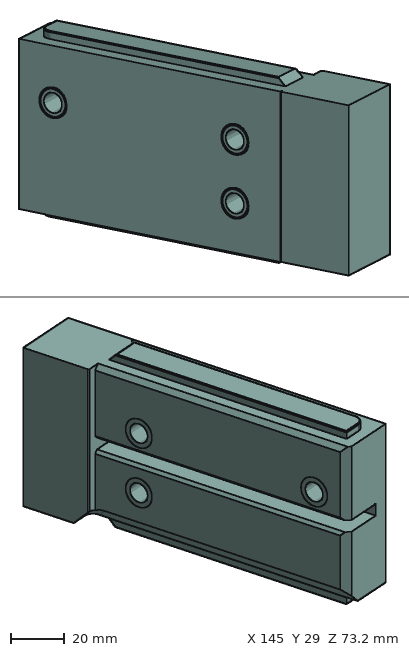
import cadquery as cq

LENGTH = 145.0
HEIGHT = 67.0
OVERALL_HEIGHT = 73.2
RAIL_THICKNESS = 25.1
STOP_THICKNESS = 29.0
STOP_FACE_X = 115.0

END_BEVEL = 3.0
TOP_BEVEL = 2.0
STOP_EDGE_BEVEL = 0.5
BOTTOM_BEVEL = 7.0
BEVEL_CORNER_RADIUS = 5.8

SLOT_WIDTH = 5.0
SLOT_FLOOR_Y = 6.5
SLOT_BEVEL = 1.3

GROOVE_START_X = 114.8
GROOVE_WIDTH = 0.5
GROOVE_DEPTH = 1.3

STRIP_START_X = 5.0
STRIP_END_X = 113.4
STRIP_FRONT_Y = 6.0
STRIP_BACK_Y = 18.3
STRIP_HEIGHT = (OVERALL_HEIGHT - HEIGHT) / 2
STRIP_CORNER_RADIUS = 5.0
STRIP_EDGE_BEVEL = 0.5

BUSHING_DIAMETER = 12.0
BORE_DIAMETER = 8.0
BUSHING_BEVEL = 0.6
LEFT_BUSHING_X = 15.0
RIGHT_BUSHING_X = 95.0
UPPER_BUSHING_Z = 44.5
LOWER_BUSHING_Z = 19.5
BUSHING_PLACES = [
    (LEFT_BUSHING_X, UPPER_BUSHING_Z),
    (RIGHT_BUSHING_X, UPPER_BUSHING_Z),
    (RIGHT_BUSHING_X, LOWER_BUSHING_Z),
]


def box(x_range, y_range, z_range):
    """Box between the given limits on each axis."""
    lows, highs = zip(x_range, y_range, z_range)
    sizes = [high - low for low, high in zip(lows, highs)]
    return cq.Workplane("XY").box(*sizes, centered=False).translate(lows)


def rail_and_stop():
    """Rail with its two bevelled back edges, and the stop with its corner edge broken."""
    rail = (
        box((0, STOP_FACE_X), (0, RAIL_THICKNESS), (0, HEIGHT))
        .edges("<X and >Y").chamfer(END_BEVEL)
        .faces(">Z").edges(">Y").chamfer(TOP_BEVEL)
    )
    stop = (
        box((STOP_FACE_X, LENGTH), (0, STOP_THICKNESS), (0, HEIGHT))
        .edges("<X and >Y").chamfer(STOP_EDGE_BEVEL)
    )
    return rail.union(stop)


def bottom_bevel_cutter():
    """Wedge with 45 degree sides along the rail's bottom back edge and under the stop face.

    Its rounded corner leaves a fillet where the two bevels meet.
    """
    clearance = 2 * BOTTOM_BEVEL
    start_x = -clearance
    end_x = STOP_FACE_X + BOTTOM_BEVEL
    front_y = RAIL_THICKNESS - BOTTOM_BEVEL
    back_y = STOP_THICKNESS + clearance
    half_bevel = BOTTOM_BEVEL / 2
    corner_edge_middle = (STOP_FACE_X + half_bevel, RAIL_THICKNESS - half_bevel, half_bevel)
    return (
        cq.Workplane("XY")
        .moveTo(start_x, front_y)
        .rect(end_x - start_x, back_y - front_y, centered=False)
        .extrude(BOTTOM_BEVEL, taper=45)
        .edges(cq.selectors.NearestToPointSelector(corner_edge_middle))
        .fillet(BEVEL_CORNER_RADIUS)
    )


def slot_cutter():
    """Slot from the rail's back face, at mid height, with bevelled lips."""
    low_z = (HEIGHT - SLOT_WIDTH) / 2
    high_z = low_z + SLOT_WIDTH
    lip_y = RAIL_THICKNESS - SLOT_BEVEL
    outline = [
        (SLOT_FLOOR_Y, low_z),
        (lip_y, low_z),
        (RAIL_THICKNESS, low_z - SLOT_BEVEL),
        (RAIL_THICKNESS, high_z + SLOT_BEVEL),
        (lip_y, high_z),
        (SLOT_FLOOR_Y, high_z),
    ]
    return cq.Workplane("YZ").polyline(outline).close().extrude(STOP_FACE_X)


def groove_cutter():
    """Fine vertical V-groove in the front face."""
    outline = [
        (GROOVE_START_X, 0),
        (GROOVE_START_X + GROOVE_WIDTH / 2, GROOVE_DEPTH),
        (GROOVE_START_X + GROOVE_WIDTH, 0),
    ]
    return cq.Workplane("XY").polyline(outline).close().extrude(HEIGHT)


def top_strip():
    """Guide strip on the top face: one rounded corner, broken edges and a 45 degree +X end."""
    top_z = HEIGHT + STRIP_HEIGHT
    side_outline = [
        (STRIP_START_X, HEIGHT),
        (STRIP_END_X, HEIGHT),
        (STRIP_END_X - STRIP_HEIGHT, top_z),
        (STRIP_START_X, top_z),
    ]
    return (
        cq.Workplane("XZ", origin=(0, STRIP_FRONT_Y, 0))
        .polyline(side_outline).close()
        .extrude(STRIP_FRONT_Y - STRIP_BACK_Y)
        .edges("|Z and <X and <Y").fillet(STRIP_CORNER_RADIUS)
        .faces(">Z").edges("not >X").chamfer(STRIP_EDGE_BEVEL)
    )


def through_cylinder(place, diameter):
    """Cylinder through the rail along Y, centred on an (x, z) place."""
    return cq.Workplane("XZ").center(*place).circle(diameter / 2).extrude(-RAIL_THICKNESS)


def make_bushing(place):
    """Drill bushing as long as the rail is thick, with its outer front rim bevelled."""
    sleeve = through_cylinder(place, BUSHING_DIAMETER).faces("<Y").chamfer(BUSHING_BEVEL)
    return sleeve.cut(through_cylinder(place, BORE_DIAMETER))


def make_body():
    """Rail, stop and both guide strips in one piece, with the bushing holes."""
    strip = top_strip()
    body = (
        rail_and_stop()
        .cut(bottom_bevel_cutter())
        .cut(slot_cutter())
        .cut(groove_cutter())
        .union(strip)
        .union(strip.mirror("XY", (0, 0, HEIGHT / 2)))
    )
    for place in BUSHING_PLACES:
        body = body.cut(through_cylinder(place, BUSHING_DIAMETER))
    return body


body = make_body()
bushings = [make_bushing(place) for place in BUSHING_PLACES]

result = cq.Compound.makeCompound([body.val(), *[bushing.val() for bushing in bushings]])